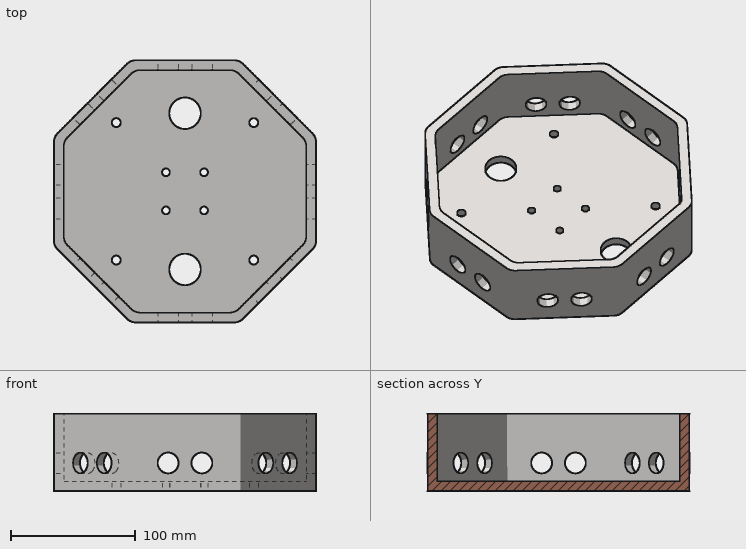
import cadquery as cq
import math

width = 210.0
height = 62.0
wall = 8.0
floor = 8.0
outer_corner_radius = 10.0
inner_corner_radius = 10.0
sides = 8

side_hole_diameter = 16.5
side_hole_spacing = 27.0
side_hole_z = 22.5

cable_hole_diameter = 25.0
cable_hole_offset = 62.5
mount_hole_diameter = 7.0
mount_hole_pitch = 110.0
center_hole_diameter = 6.0
center_hole_pitch = 30.5


def octagon_prism(across_flats, base_z, top_z, corner_radius):
    """Octagonal prism with flats facing X and Y and rounded upright edges."""
    corner_diameter = across_flats / math.cos(math.pi / sides)
    return (
        cq.Workplane("XY", origin=(0, 0, base_z))
        .transformed(rotate=(0, 0, 180.0 / sides))
        .polygon(sides, corner_diameter)
        .extrude(top_z - base_z)
        .edges("|Z")
        .fillet(corner_radius)
    )


def box_body():
    outside = octagon_prism(width, 0, height, outer_corner_radius)
    cavity = octagon_prism(width - 2 * wall, floor, height, inner_corner_radius)
    return outside.cut(cavity)


def side_hole_pair(angle):
    """Two parallel cylinders spanning the box, turned about Z to pierce two opposite walls."""
    return (
        cq.Workplane("XZ", origin=(0, 0, side_hole_z))
        .pushPoints([(-side_hole_spacing / 2, 0), (side_hole_spacing / 2, 0)])
        .circle(side_hole_diameter / 2)
        .extrude(width, both=True)
        .rotate((0, 0, 0), (0, 0, 1), angle)
    )


def floor_cylinders(points, diameter):
    return cq.Workplane("XY").pushPoints(points).circle(diameter / 2).extrude(floor)


def square_corners(pitch):
    half = pitch / 2
    return [(x, y) for x in (-half, half) for y in (-half, half)]


result = box_body()
for index in range(sides // 2):
    result = result.cut(side_hole_pair(index * 360.0 / sides))
cable_points = [(0, -cable_hole_offset), (0, cable_hole_offset)]
result = result.cut(floor_cylinders(cable_points, cable_hole_diameter))
result = result.cut(floor_cylinders(square_corners(mount_hole_pitch), mount_hole_diameter))
result = result.cut(floor_cylinders(square_corners(center_hole_pitch), center_hole_diameter))